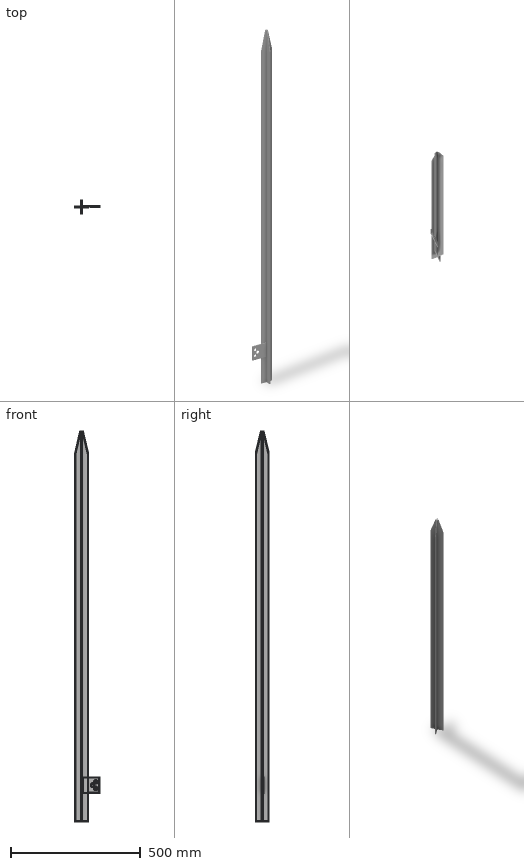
import cadquery as cq
import math

length = 1500.0
span = 49.93
root_thickness = 4.0
tip_thickness = 3.0

point_length = 85.0
point_width = 10.0

total_width = 93.55
lug_overlap = 20.0
lug_thickness = 3.0
lug_height = 60.0
lug_centre_z = 140.0
large_hole_diameter = 13.0
large_hole_inset = 25.5
small_hole_diameter = 11.0
small_hole_inset = 14.0
small_hole_pitch = 25.0

half_span = span / 2
half_root = root_thickness / 2
half_tip = tip_thickness / 2
arm_slope = math.atan2(half_root - half_tip, half_span - half_root)
lug_outer_x = total_width - half_span


def cross_bar():
    """Straight bar with four arms that thin out towards their free edges."""
    arm_corners = [(half_span, -half_tip), (half_span, half_tip), (half_root, half_root)]
    outline = []
    for quarter in range(4):
        turn = math.radians(90 * quarter)
        for x, y in arm_corners:
            turned_x = x * math.cos(turn) - y * math.sin(turn)
            turned_y = x * math.sin(turn) + y * math.cos(turn)
            outline.append((turned_x, turned_y))
    return cq.Workplane("XY").polyline(outline).close().extrude(length)


def pointed_outline(plane):
    """Prism with the pointed outline on the given plane, deep enough to span the whole bar."""
    shoulder = length - point_length
    return (
        cq.Workplane(plane)
        .moveTo(-half_span, 0)
        .lineTo(half_span, 0)
        .lineTo(half_span, shoulder)
        .lineTo(point_width / 2, length)
        .lineTo(-point_width / 2, length)
        .lineTo(-half_span, shoulder)
        .close()
        .extrude(span, both=True)
    )


def make_stake():
    return cross_bar().intersect(pointed_outline("XZ")).intersect(pointed_outline("YZ"))


def make_lug():
    """Flat plate with three holes, tilted to sit on the sloping face of the arm."""
    reach = (lug_outer_x - half_span - lug_thickness * math.sin(arm_slope)) / math.cos(arm_slope)
    plate = (
        cq.Workplane("XY")
        .box(lug_overlap + reach, lug_thickness, lug_height, centered=(False, False, True))
        .translate((-lug_overlap, 0, 0))
    )
    half_pitch = small_hole_pitch / 2
    small_hole_x = reach - small_hole_inset
    large_hole_x = reach - large_hole_inset
    holes = (
        cq.Workplane("XZ")
        .pushPoints([(small_hole_x, -half_pitch), (small_hole_x, half_pitch)])
        .circle(small_hole_diameter / 2)
        .pushPoints([(large_hole_x, 0)])
        .circle(large_hole_diameter / 2)
        .extrude(-lug_thickness)
    )
    return (
        plate.cut(holes)
        .rotate((0, 0, 0), (0, 0, 1), -math.degrees(arm_slope))
        .translate((half_span, half_tip, lug_centre_z))
    )


stake = make_stake()
lug = make_lug()

result = cq.Compound.makeCompound([stake.val(), lug.val()])